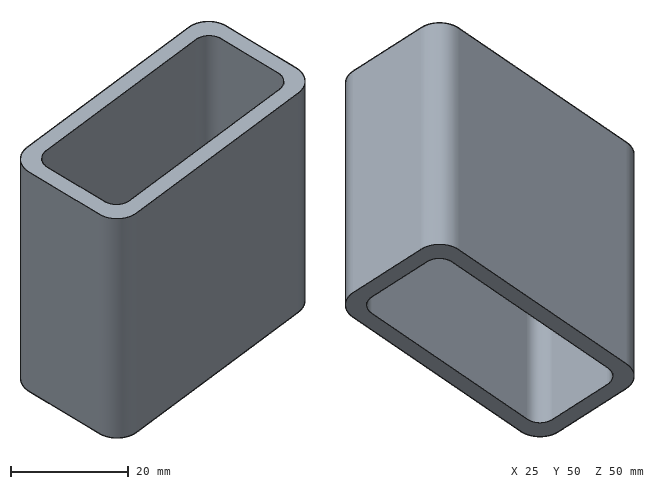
import cadquery as cq

width = 25.0
depth = 50.0
height = 50.0
wall = 3.0
outer_radius = 4.5
inner_radius = 3.0


def rounded_block(size_x, size_y, corner_radius):
    """Full-height block with rounded vertical edges, centred on the origin."""
    return cq.Workplane("XY").box(size_x, size_y, height).edges("|Z").fillet(corner_radius)


outer_body = rounded_block(width, depth, outer_radius)
bore = rounded_block(width - 2 * wall, depth - 2 * wall, inner_radius)

result = outer_body.cut(bore)